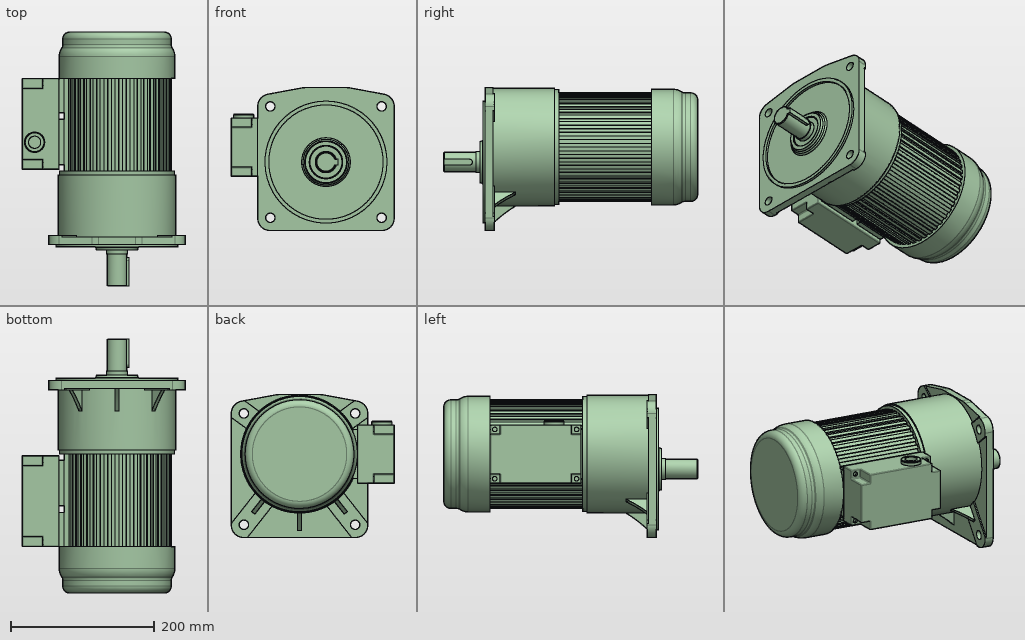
import cadquery as cq
import math

MOTOR_Z = 21.0

OVERALL_LENGTH = 355.3
SHAFT_TIP_Y = -58.0
COLLAR_END_Y = -12.8
BOSS_FACE_Y = -7.5
PILOT_FACE_Y = -3.2
PLATE_BACK_Y = 11.0
PAD_BACK_Y = 13.0
GEARCASE_BACK_Y = 97.5
FRAME_FRONT_Y = 103.0
COVER_FRONT_Y = 232.5
COVER_BACK_Y = SHAFT_TIP_Y + OVERALL_LENGTH

FLANGE_HALF = 95.5
FLANGE_BOTTOM_Z = -96.0
FLANGE_TOP_Z = 104.5
FLANGE_TOP_HALF = 30.2
FLANGE_SHOULDER_Z = 92.5
CORNER_RADIUS = 17.8
TOP_BLEND_RADIUS = 49.7
BOLT_OFFSET = 77.8
BOLT_HOLE_RADIUS = 6.5
BOLT_PAD_WIDTH = 30.0
BOLT_PAD_REACH = 160.0

PILOT_RADIUS = 85.3
PILOT_RECESS_RADIUS = 80.0
BOSS_COLLAR_RADIUS = 32.0
BOSS_COLLAR_FILLET = 2.0
BOSS_ROOT_RADIUS = 30.0
BOSS_ROOT_Y = -4.0
BOSS_FACE_RADIUS = 28.8
SEAL_RECESS_RADIUS = 23.5
SEAL_RECESS_TAPER = 1.0

GEARCASE_RADIUS = 82.5
SPIGOT_RADIUS = 80.5
RIB_START_Y = 42.5
RIB_MIDDLE_Y = 25.5
RIB_MIDDLE_REACH = 94.0
RIB_FOOT_REACH = 106.5
RIB_WIDTH = 5.7

SHAFT_RADIUS = 14.0
COLLAR_RADIUS = 15.0
TIP_CHAMFER = 1.0
KEY_WIDTH = 8.0
KEY_TOP_X = 17.0
KEY_START_Y = -17.8

FIN_RADIUS = 76.0
FIN_COUNT = 45
GROOVE_WIDTH = 5.5
GROOVE_DEPTH = 2.5
SEAT_X = -74.0
SEAT_INNER_X = -64.0
SEAT_HEIGHT = 68.2

COVER_RADIUS = 81.0
COVER_REAR_RADIUS = 76.0
COVER_CREASE_RADIUS = 77.5
COVER_NECK_RADIUS = 76.7
COVER_STRAIGHT_END_Y = 263.3
COVER_CREASE_Y = 274.5
COVER_NECK_Y = 275.7
COVER_REAR_START_Y = 280.0
COVER_BACK_FILLET = 10.0

BOX_OUTER_X = -132.5
BOX_INNER_X = -81.0
BOX_FRONT_Y = 105.0
BOX_BACK_Y = 232.5
BOX_HEIGHT = 81.7
BOX_EDGE_FILLET = 1.0
NOTCH_DEPTH = 28.8
NOTCH_LENGTH = 14.0
NOTCH_HEIGHT = 12.8
SCREW_HOLE_RADIUS = 3.2
SCREW_HOLE_DEPTH = 3.5
SCREW_HOLE_INSET = 6.5
FOOT_SPANS_Y = [(111.5, 175.5), (184.5, 232.5)]
GROMMET_X = -115.0
GROMMET_Y = 143.2
GROMMET_RADIUS = 14.2
GROMMET_BORE_RADIUS = 8.5
GROMMET_HEIGHT = 5.5
GROMMET_CHAMFER = 1.0


def cylinder(radius, start_y, end_y, x=0.0, z=0.0):
    """A cylinder along Y."""
    axis_start = cq.Vector(x, start_y, z)
    solid = cq.Solid.makeCylinder(radius, end_y - start_y, axis_start, cq.Vector(0, 1, 0))
    return cq.Workplane(obj=solid)


def block(x_span, y_span, z_span):
    """A box given by its two ends along each axis."""
    size = [end - start for start, end in (x_span, y_span, z_span)]
    corner = cq.Vector(x_span[0], y_span[0], z_span[0])
    return cq.Workplane(obj=cq.Solid.makeBox(*size, corner))


def about_motor_axis(body, angle):
    """Turn a body about the motor axis; positive angles lean the top toward +X."""
    return body.rotate((0, 0, MOTOR_Z), (0, 1, MOTOR_Z), angle)


def bolt_points():
    return [(sx * BOLT_OFFSET, sz * BOLT_OFFSET) for sx in (-1, 1) for sz in (-1, 1)]


def angle_from_top(x, z):
    """Angle about the motor axis between straight up and the point (x, z)."""
    return math.degrees(math.atan2(x, z - MOTOR_Z))


def flange_blank(back_y):
    """Flange outline, from the mounting face back to back_y."""
    half_outline = [
        (FLANGE_HALF, FLANGE_BOTTOM_Z),
        (FLANGE_HALF, FLANGE_SHOULDER_Z),
        (FLANGE_TOP_HALF, FLANGE_TOP_Z),
    ]
    mirrored = [(-x, z) for x, z in reversed(half_outline)]
    blank = cq.Workplane("XZ").polyline(half_outline + mirrored).close().extrude(-back_y)
    blank = blank.edges("|Y").edges("<X or >X").fillet(CORNER_RADIUS)
    return blank.faces(">Z").edges("|Y").fillet(TOP_BLEND_RADIUS)


def bolt_pads():
    """Thicker strips of the flange that run from the gearcase out to each bolt hole."""
    half = BOLT_PAD_WIDTH / 2
    strip = block((-half, half), (0, PAD_BACK_Y), (MOTOR_Z, MOTOR_Z + BOLT_PAD_REACH))
    strips = cq.Workplane()
    for x, z in bolt_points():
        strips = strips.add(about_motor_axis(strip, angle_from_top(x, z)))
    return strips.combine().intersect(flange_blank(PAD_BACK_Y))


def gearcase_ribs():
    """Three curved ribs under the gearcase: to the bottom centre and both lower bolts."""
    rib = (
        cq.Workplane("YZ", origin=(-RIB_WIDTH / 2, 0, MOTOR_Z))
        .moveTo(0, 0)
        .lineTo(RIB_START_Y, 0)
        .lineTo(RIB_START_Y, GEARCASE_RADIUS)
        .threePointArc((RIB_MIDDLE_Y, RIB_MIDDLE_REACH), (PLATE_BACK_Y, RIB_FOOT_REACH))
        .lineTo(0, RIB_FOOT_REACH)
        .close()
        .extrude(RIB_WIDTH)
    )
    lower_bolt_angle = angle_from_top(BOLT_OFFSET, -BOLT_OFFSET)
    ribs = cq.Workplane()
    for angle in (-lower_bolt_angle, 180.0, lower_bolt_angle):
        ribs = ribs.add(about_motor_axis(rib, angle))
    return ribs.combine()


def shaft_boss():
    """Tapered round boss in the pilot recess, on a low collar blended into the recess floor."""
    base_radius = BOSS_COLLAR_RADIUS + BOSS_COLLAR_FILLET
    profile = (
        cq.Workplane("XY")
        .moveTo(0, PLATE_BACK_Y)
        .lineTo(base_radius, PLATE_BACK_Y)
        .lineTo(base_radius, 0)
        .radiusArc((BOSS_COLLAR_RADIUS, -BOSS_COLLAR_FILLET), BOSS_COLLAR_FILLET)
        .lineTo(BOSS_ROOT_RADIUS, BOSS_ROOT_Y)
        .lineTo(BOSS_FACE_RADIUS, BOSS_FACE_Y)
        .lineTo(0, BOSS_FACE_Y)
        .close()
    )
    return profile.revolve(360, (0, 0, 0), (0, 1, 0))


def seal_recess():
    """Shallow recess with a 45 degree wall in the face of the boss."""
    floor_y = BOSS_FACE_Y + SEAL_RECESS_TAPER
    disc = cylinder(SEAL_RECESS_RADIUS, BOSS_FACE_Y - SEAL_RECESS_TAPER, floor_y)
    return disc.faces(">Y").chamfer(SEAL_RECESS_TAPER)


def make_gear_housing():
    housing = flange_blank(PLATE_BACK_Y).union(bolt_pads())
    housing = housing.union(cylinder(GEARCASE_RADIUS, 0, GEARCASE_BACK_Y, z=MOTOR_Z))
    housing = housing.union(cylinder(SPIGOT_RADIUS, GEARCASE_BACK_Y, FRAME_FRONT_Y, z=MOTOR_Z))
    housing = housing.union(gearcase_ribs())
    pilot_ring = cylinder(PILOT_RADIUS, PILOT_FACE_Y, 0).cut(
        cylinder(PILOT_RECESS_RADIUS, PILOT_FACE_Y, 0)
    )
    housing = housing.union(pilot_ring).union(shaft_boss())
    housing = housing.cut(seal_recess())
    housing = housing.cut(cylinder(COLLAR_RADIUS, BOSS_FACE_Y, PLATE_BACK_Y))
    for x, z in bolt_points():
        housing = housing.cut(cylinder(BOLT_HOLE_RADIUS, 0, PAD_BACK_Y, x=x, z=z))
    return housing


def make_output_shaft():
    """Stepped shaft with its key, round at the inner end, in one piece."""
    shank = cylinder(SHAFT_RADIUS, SHAFT_TIP_Y, COLLAR_END_Y).faces("<Y").chamfer(TIP_CHAMFER)
    collar = cylinder(COLLAR_RADIUS, COLLAR_END_Y, PLATE_BACK_Y)
    half = KEY_WIDTH / 2
    round_center_y = KEY_START_Y - half
    key = block((0, KEY_TOP_X), (SHAFT_TIP_Y, round_center_y), (-half, half))
    round_end = (
        cq.Workplane("YZ").center(round_center_y, 0).circle(half).extrude(KEY_TOP_X)
    )
    return shank.union(collar).union(key).union(round_end)


def make_motor_frame():
    """Finned cylinder with a flat seat for the terminal box on its -X side."""
    y_span = (FRAME_FRONT_Y, COVER_FRONT_Y)
    frame = cylinder(FIN_RADIUS, *y_span, z=MOTOR_Z)
    groove = block(
        (-GROOVE_WIDTH / 2, GROOVE_WIDTH / 2),
        y_span,
        (MOTOR_Z + FIN_RADIUS - GROOVE_DEPTH, MOTOR_Z + FIN_RADIUS + GROOVE_DEPTH),
    )
    pitch = 360.0 / FIN_COUNT
    grooves = cq.Workplane()
    for index in range(FIN_COUNT):
        grooves = grooves.add(about_motor_axis(groove, (index + 0.5) * pitch))
    frame = frame.cut(cq.Workplane(obj=cq.Compound.makeCompound(grooves.vals())))
    seat_z = (MOTOR_Z - SEAT_HEIGHT / 2, MOTOR_Z + SEAT_HEIGHT / 2)
    frame = frame.cut(block((-FIN_RADIUS, SEAT_X), y_span, seat_z))
    return frame.union(block((SEAT_X, SEAT_INNER_X), y_span, seat_z))


def blend_radius(rise, run):
    """Radius of an arc that leaves a straight line by `rise` over the length `run`."""
    return (rise**2 + run**2) / (2 * rise)


def make_fan_cover():
    front_arc = blend_radius(COVER_RADIUS - COVER_CREASE_RADIUS, COVER_CREASE_Y - COVER_STRAIGHT_END_Y)
    rear_arc = blend_radius(
        COVER_NECK_RADIUS - COVER_REAR_RADIUS, COVER_REAR_START_Y - COVER_NECK_Y
    )
    profile = (
        cq.Workplane("XY")
        .moveTo(0, COVER_FRONT_Y)
        .lineTo(COVER_RADIUS, COVER_FRONT_Y)
        .lineTo(COVER_RADIUS, COVER_STRAIGHT_END_Y)
        .radiusArc((COVER_CREASE_RADIUS, COVER_CREASE_Y), -front_arc)
        .lineTo(COVER_NECK_RADIUS, COVER_NECK_Y)
        .radiusArc((COVER_REAR_RADIUS, COVER_REAR_START_Y), rear_arc)
        .lineTo(COVER_REAR_RADIUS, COVER_BACK_Y)
        .lineTo(0, COVER_BACK_Y)
        .close()
    )
    cover = profile.revolve(360, (0, 0, 0), (0, 1, 0))
    cover = cover.faces(">Y").edges().fillet(COVER_BACK_FILLET)
    return cover.translate((0, 0, MOTOR_Z))


def make_terminal_box():
    """Box with screw notches in its outer corners, a cable grommet and two feet."""
    bottom_z = MOTOR_Z - BOX_HEIGHT / 2
    top_z = MOTOR_Z + BOX_HEIGHT / 2
    box = block((BOX_OUTER_X, BOX_INNER_X), (BOX_FRONT_Y, BOX_BACK_Y), (bottom_z, top_z))
    notch_floor_x = BOX_OUTER_X + NOTCH_DEPTH
    notch_x = (BOX_OUTER_X, notch_floor_x)
    corners = [
        (y, z, y_inward, z_inward)
        for y, y_inward in ((BOX_FRONT_Y, 1), (BOX_BACK_Y, -1))
        for z, z_inward in ((bottom_z, 1), (top_z, -1))
    ]
    for y, z, y_inward, z_inward in corners:
        notch_y = sorted((y, y + y_inward * NOTCH_LENGTH))
        notch_z = sorted((z, z + z_inward * NOTCH_HEIGHT))
        box = box.cut(block(notch_x, notch_y, notch_z))
    box = box.edges().fillet(BOX_EDGE_FILLET)
    for y, z, y_inward, z_inward in corners:
        screw_hole = (
            cq.Workplane("YZ", origin=(notch_floor_x, 0, 0))
            .center(y + y_inward * SCREW_HOLE_INSET, z + z_inward * SCREW_HOLE_INSET)
            .circle(SCREW_HOLE_RADIUS)
            .extrude(SCREW_HOLE_DEPTH)
        )
        box = box.cut(screw_hole)
    foot_z = (MOTOR_Z - SEAT_HEIGHT / 2, MOTOR_Z + SEAT_HEIGHT / 2)
    for foot_y in FOOT_SPANS_Y:
        box = box.union(block((BOX_INNER_X, SEAT_X), foot_y, foot_z))
    grommet = (
        cq.Workplane("XY", origin=(GROMMET_X, GROMMET_Y, top_z))
        .circle(GROMMET_RADIUS)
        .extrude(GROMMET_HEIGHT)
        .faces(">Z")
        .chamfer(GROMMET_CHAMFER)
        .faces(">Z")
        .workplane()
        .hole(2 * GROMMET_BORE_RADIUS)
    )
    return box.union(grommet)


gear_housing = make_gear_housing()
output_shaft = make_output_shaft()
motor_frame = make_motor_frame()
fan_cover = make_fan_cover()
terminal_box = make_terminal_box()

result = cq.Compound.makeCompound(
    [
        gear_housing.val(),
        output_shaft.val(),
        motor_frame.val(),
        fan_cover.val(),
        terminal_box.val(),
    ]
)